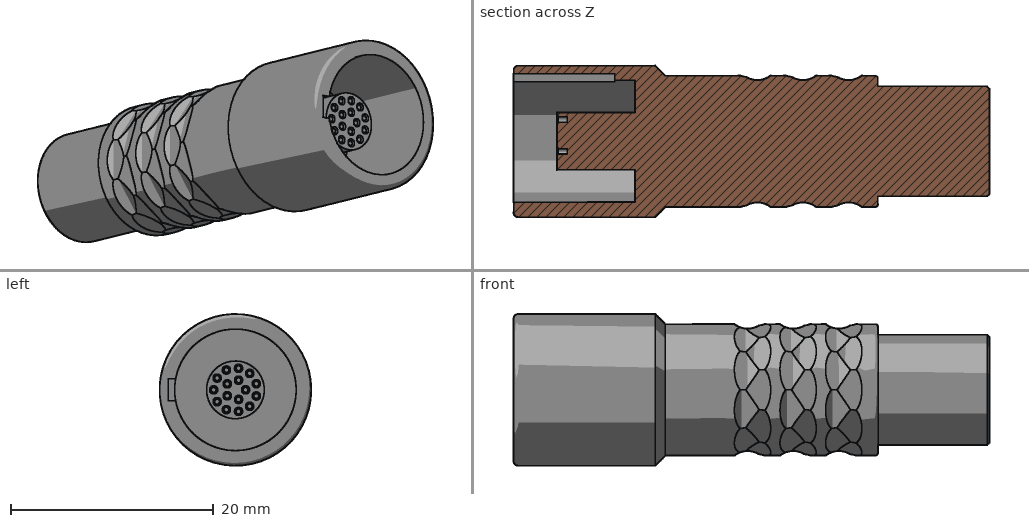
import cadquery as cq
import math


TOTAL_LENGTH = 47.0
HEAD_RADIUS = 7.5
HEAD_LENGTH = 14.0
BODY_RADIUS = 6.5
BODY_END = 36.0
TAIL_RADIUS = 5.45
RIM_FILLET = 0.5
BODY_END_FILLET = 0.3
TAIL_CHAMFER = 0.25

SOCKET_RADIUS = 6.0
SOCKET_DEPTH = 12.0
KEYWAY_WIDTH = 2.2
KEYWAY_FLOOR_RADIUS = 6.65
KEYWAY_LENGTH = 10.0

INSERT_RADIUS = 2.85
INSERT_FACE = 4.3
CONTACT_DIAMETER = 0.5
LEAD_IN_DIAMETER = 0.8
CONTACT_DEPTH = 1.0
OUTER_RING_COUNT = 11
OUTER_RING_RADIUS = 2.15
INNER_RING_COUNT = 5
INNER_RING_RADIUS = 1.0
TOWARD_PLUS_Y = 0.0
TOWARD_MINUS_Y = 180.0

BAND_COUNT = 3
BAND_PITCH = 4.5
FIRST_BAND_CENTER = 23.6
ROW_SPACING = 0.95
SCOOPS_PER_ROW = 10
SCOOP_DEPTH = 0.45
SCOOP_RADIUS = 2.15
SCOOP_STEP = 360.0 / SCOOPS_PER_ROW


def make_sleeve():
    """Turned outer shape, revolved about X from a profile on the -Y side."""
    neck_end = HEAD_LENGTH + HEAD_RADIUS - BODY_RADIUS
    arc_inset = 1 - math.sqrt(0.5)
    rim_inset = RIM_FILLET * arc_inset
    end_inset = BODY_END_FILLET * arc_inset
    return (
        cq.Workplane("XY")
        .moveTo(0, 0)
        .lineTo(0, RIM_FILLET - HEAD_RADIUS)
        .threePointArc((rim_inset, rim_inset - HEAD_RADIUS), (RIM_FILLET, -HEAD_RADIUS))
        .lineTo(HEAD_LENGTH, -HEAD_RADIUS)
        .lineTo(neck_end, -BODY_RADIUS)
        .lineTo(BODY_END - BODY_END_FILLET, -BODY_RADIUS)
        .threePointArc(
            (BODY_END - end_inset, end_inset - BODY_RADIUS),
            (BODY_END, BODY_END_FILLET - BODY_RADIUS),
        )
        .lineTo(BODY_END, -TAIL_RADIUS)
        .lineTo(TOTAL_LENGTH - TAIL_CHAMFER, -TAIL_RADIUS)
        .lineTo(TOTAL_LENGTH, TAIL_CHAMFER - TAIL_RADIUS)
        .lineTo(TOTAL_LENGTH, 0)
        .close()
        .revolve(360, (0, 0, 0), (1, 0, 0))
    )


def make_socket():
    """Annular cavity around the insert, joined to the open bore and its keyway."""
    bore = cq.Workplane("YZ").circle(SOCKET_RADIUS).extrude(SOCKET_DEPTH)
    insert = (
        cq.Workplane("YZ", origin=(INSERT_FACE, 0, 0))
        .circle(INSERT_RADIUS)
        .extrude(SOCKET_DEPTH - INSERT_FACE)
    )
    keyway = cq.Workplane("XY").box(
        KEYWAY_LENGTH, KEYWAY_FLOOR_RADIUS, KEYWAY_WIDTH, centered=(False, False, True)
    )
    return bore.union(keyway.cut(bore)).cut(insert)


def make_contact_hole():
    """Blind contact hole with a 45 degree lead-in, opening at the insert face on the axis."""
    hole_radius = CONTACT_DIAMETER / 2
    mouth_radius = LEAD_IN_DIAMETER / 2
    lead_in_depth = mouth_radius - hole_radius
    return (
        cq.Workplane("XY", origin=(INSERT_FACE, 0, 0))
        .lineTo(0, mouth_radius)
        .lineTo(lead_in_depth, hole_radius)
        .lineTo(CONTACT_DEPTH, hole_radius)
        .lineTo(CONTACT_DEPTH, 0)
        .close()
        .revolve(360, (0, 0, 0), (1, 0, 0))
    )


def cut_contact_ring(part, count, ring_radius, start_angle):
    """Cut evenly spaced contact holes, with angles measured from +Y toward +Z."""
    hole = make_contact_hole()
    for i in range(count):
        angle = math.radians(start_angle + i * 360.0 / count)
        offset = (0, ring_radius * math.cos(angle), ring_radius * math.sin(angle))
        part = part.cut(hole.translate(offset))
    return part


def make_scoop_row(row_center, start_angle):
    """Cylinders around the body whose tangential axes lie outside the body surface."""
    axis_height = BODY_RADIUS - SCOOP_DEPTH + SCOOP_RADIUS
    half_length = BODY_RADIUS * math.tan(math.radians(SCOOP_STEP / 2)) + SCOOP_DEPTH
    scoop = (
        cq.Workplane("XZ")
        .center(row_center, axis_height)
        .circle(SCOOP_RADIUS)
        .extrude(half_length, both=True)
    )
    angles = [start_angle + i * SCOOP_STEP for i in range(SCOOPS_PER_ROW)]
    return [scoop.rotate((0, 0, 0), (1, 0, 0), angle) for angle in angles]


def cut_grip(part):
    """Cut the staggered scoop rows of every grip band."""
    for band in range(BAND_COUNT):
        center = FIRST_BAND_CENTER + band * BAND_PITCH
        socket_side_row = make_scoop_row(center - ROW_SPACING / 2, 0)
        tail_side_row = make_scoop_row(center + ROW_SPACING / 2, SCOOP_STEP / 2)
        for scoop in socket_side_row + tail_side_row:
            part = part.cut(scoop)
    return part


result = cut_grip(make_sleeve())
result = result.cut(make_socket())
result = cut_contact_ring(result, OUTER_RING_COUNT, OUTER_RING_RADIUS, TOWARD_PLUS_Y)
result = cut_contact_ring(result, INNER_RING_COUNT, INNER_RING_RADIUS, TOWARD_MINUS_Y)